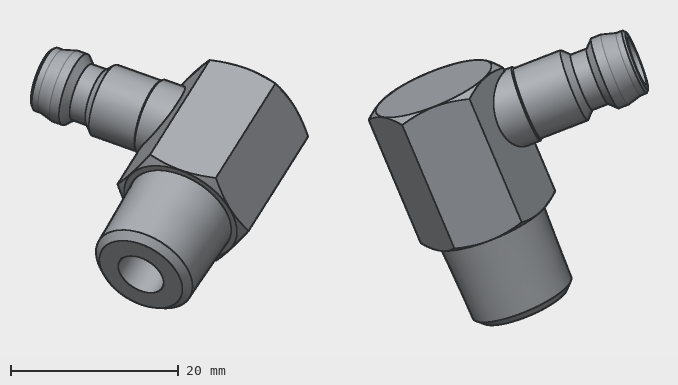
import cadquery as cq
import math

LENGTH_X = 32.4
HEX_FLATS = 15.0
HEX_LENGTH = 18.0
HEX_FACE_DIAMETER = 14.9
HEX_CHAMFER_ANGLE = 30.0
CLEARANCE = 0.32
HEX_CORNERS = HEX_FLATS / math.cos(math.radians(30))

SPIGOT_LENGTH = 11.02
SPIGOT_BASE_RADIUS = 6.7
SPIGOT_TAPER = 1 / 32
SPIGOT_CHAMFER = 0.9

STEM_INSET = 5.9
STEM_RADIUS = 4.5
LIP_RADIUS = 4.02
LIP_CHAMFER = 0.3
LIP_END = 1.07
HEAD_START = 2.82
HEAD_END = 4.08
GROOVE_RADIUS = 3.55
GROOVE_START = 5.05
GROOVE_END = 7.1
COLLAR_RADIUS = 4.73
COLLAR_START = 14.05
COLLAR_CHAMFER = 0.15

BORE_DIAMETER = 6.0
BORE_RADIUS = BORE_DIAMETER / 2

STEM_TIP_X = HEX_CORNERS / 2 - LENGTH_X
STEM_Y = HEX_LENGTH - STEM_INSET
X_AXIS = cq.Vector(1, 0, 0)
Y_AXIS = cq.Vector(0, 1, 0)


def revolve_about_y(profile):
    """Revolve (radius, y) points about the body axis."""
    return cq.Workplane("XY").polyline(profile).close().revolve(360, (0, 0, 0), (0, 1, 0))


def make_body():
    hexagon = (
        cq.Workplane("XZ")
        .polygon(6, HEX_CORNERS)
        .extrude(-HEX_LENGTH)
    )
    face_radius = HEX_FACE_DIAMETER / 2
    outer_radius = HEX_CORNERS / 2 + CLEARANCE
    drop = (outer_radius - face_radius) * math.tan(math.radians(HEX_CHAMFER_ANGLE))
    envelope = revolve_about_y([
        (0, 0),
        (face_radius, 0),
        (outer_radius, drop),
        (outer_radius, HEX_LENGTH - drop),
        (face_radius, HEX_LENGTH),
        (0, HEX_LENGTH),
    ])
    return hexagon.intersect(envelope)


def make_spigot():
    chamfer_start = SPIGOT_LENGTH - SPIGOT_CHAMFER
    end_radius = SPIGOT_BASE_RADIUS - SPIGOT_TAPER * chamfer_start
    return revolve_about_y([
        (0, 0),
        (SPIGOT_BASE_RADIUS, 0),
        (end_radius, -chamfer_start),
        (end_radius - SPIGOT_CHAMFER, -SPIGOT_LENGTH),
        (0, -SPIGOT_LENGTH),
    ])


def make_stem():
    groove_depth = STEM_RADIUS - GROOVE_RADIUS
    stem_length = -STEM_TIP_X
    return (
        cq.Workplane("XY", origin=(STEM_TIP_X, STEM_Y, 0))
        .polyline([
            (0, 0),
            (0, LIP_RADIUS - LIP_CHAMFER),
            (LIP_CHAMFER, LIP_RADIUS),
            (LIP_END, LIP_RADIUS),
            (HEAD_START, STEM_RADIUS),
            (HEAD_END, STEM_RADIUS),
            (GROOVE_START, GROOVE_RADIUS),
            (GROOVE_END, GROOVE_RADIUS),
            (GROOVE_END + groove_depth, STEM_RADIUS),
            (COLLAR_START, STEM_RADIUS),
            (COLLAR_START, COLLAR_RADIUS - COLLAR_CHAMFER),
            (COLLAR_START + COLLAR_CHAMFER, COLLAR_RADIUS),
            (stem_length, COLLAR_RADIUS),
            (stem_length, 0),
        ])
        .close()
        .revolve(360, (0, 0, 0), (1, 0, 0))
    )


def make_bores():
    """Two bores meeting at a right angle inside the body."""
    spigot_bore = cq.Solid.makeCylinder(
        BORE_RADIUS,
        SPIGOT_LENGTH + STEM_Y + BORE_RADIUS,
        cq.Vector(0, -SPIGOT_LENGTH, 0),
        Y_AXIS,
    )
    stem_bore = cq.Solid.makeCylinder(
        BORE_RADIUS,
        -STEM_TIP_X,
        cq.Vector(STEM_TIP_X, STEM_Y, 0),
        X_AXIS,
    )
    return cq.Workplane(spigot_bore).union(cq.Workplane(stem_bore))


result = make_body().union(make_spigot()).union(make_stem()).cut(make_bores())